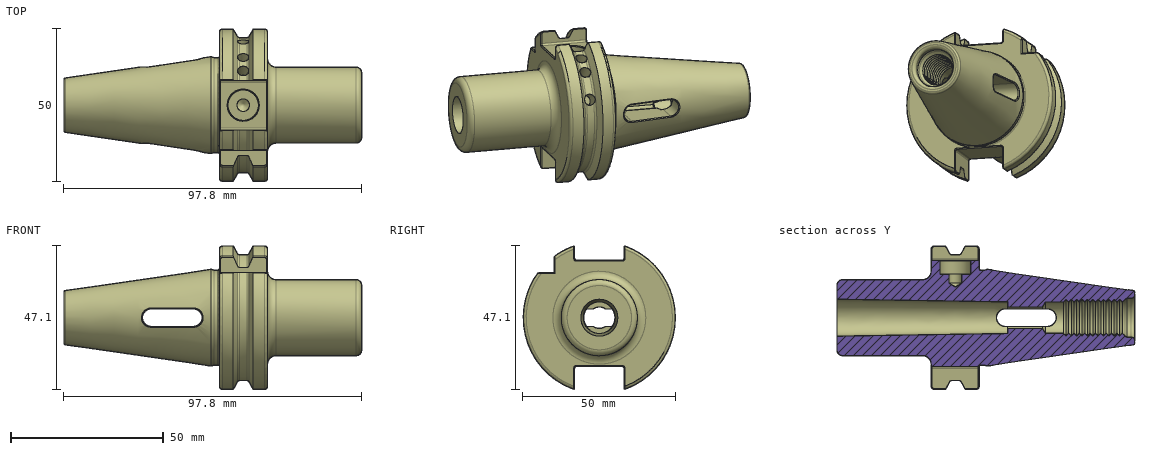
import cadquery as cq
import math

TOTAL_LENGTH = 97.8
TOLERANCE = 0.001
OVERSHOOT = 4.9

TAPER_LENGTH = 48.3
TAPER_END_RADIUS = 15.9
TAPER_SLOPE = 7 / 24 / 2
TAPER_START_RADIUS = TAPER_END_RADIUS - TAPER_SLOPE * TAPER_LENGTH
TAPER_NOSE_FILLET = 0.7
NECK_START = 49.3
NECK_RADIUS = 15.6
NECK_FILLET = 0.4

FLANGE_START = 51.1
FLANGE_END = 66.9
FLANGE_RADIUS = 50.0 / 2
FLANGE_FILLET = 1.0
GROOVE_CENTER = 58.9
GROOVE_TOP_WIDTH = 6.6
GROOVE_FLOOR_RADIUS = 22.2
GROOVE_HALF_ANGLE = 30.0
GROOVE_FILLET = 0.8
GROOVE_FLOOR_WIDTH = GROOVE_TOP_WIDTH - 2 * (FLANGE_RADIUS - GROOVE_FLOOR_RADIUS) * math.tan(
    math.radians(GROOVE_HALF_ANGLE)
)

SLEEVE_RADIUS = 12.5
SLEEVE_ROOT_FILLET = 2.7
SLEEVE_END_FILLET = 2.0

STUD_MOUTH_FILLET = 1.2
STUD_GUIDE_RADIUS = 6.4
STUD_GUIDE_DEPTH = 2.6
STUD_BORE_RADIUS = 5.1
STUD_BORE_DEPTH = 29.3
THREAD_START = 3.2
THREAD_ROOT_RADIUS = 6.0
THREAD_PITCH = 1.8
THREAD_TURNS = 12
DRILL_TIP_HALF_ANGLE = 59.0
LINK_HOLE_RADIUS = 6.9 / 2

SOCKET_MOUTH_RADIUS = 6.1
SOCKET_END_RADIUS = 5.2
SOCKET_BOTTOM = 41.8

EJECTOR_START = 25.8
EJECTOR_LENGTH = 19.6
EJECTOR_HEIGHT = 5.7
EJECTOR_EDGE_CHAMFER = 0.34

DRIVE_WIDTH = 16.1
DRIVE_TOP_FLOOR = 18.9
DRIVE_BOTTOM_FLOOR = 16.0
DRIVE_FLOOR_FILLET = 0.6
NOTCH_OFFSET = 14.9
SLOT_EDGE_CHAMFER = 0.34

SEAT_RADIUS = 5.0
SEAT_DEPTH = 4.6
SEAT_CHAMFER = 0.3
PILOT_RADIUS = 2.1
PILOT_DEPTH = 2.9

RADIAL_HOLE_RADIUS = 3.6 / 2
RADIAL_HOLE_DEPTH = 5.9
RADIAL_HOLE_ANGLES = (30.5, 45.0, 69.5)


def drill_tip(radius):
    """Length of a drill point that closes a hole of the given radius."""
    return radius / math.tan(math.radians(DRILL_TIP_HALF_ANGLE))


def revolve_about_x(points):
    """Solid of revolution about X from (x, radius) points."""
    return cq.Workplane("XY").polyline(points).close().revolve(360, (0, 0, 0), (1, 0, 0))


def fillet_rim(body, x, rim_radius, fillet_radius):
    """Round the circular edge found at position x with the given radius."""
    def is_rim(edge):
        return (
            edge.geomType() == "CIRCLE"
            and abs(edge.Center().x - x) < TOLERANCE
            and abs(edge.radius() - rim_radius) < TOLERANCE
        )

    return body.edges().filter(is_rim).fillet(fillet_radius)


def box_holds(box, edge):
    """True if the edge lies wholly inside the bounding box."""
    span = edge.BoundingBox()
    return (
        box.xmin <= span.xmin and span.xmax <= box.xmax
        and box.ymin <= span.ymin and span.ymax <= box.ymax
        and box.zmin <= span.zmin and span.zmax <= box.zmax
    )


def turned_body():
    groove_top_start = GROOVE_CENTER - GROOVE_TOP_WIDTH / 2
    groove_top_end = GROOVE_CENTER + GROOVE_TOP_WIDTH / 2
    groove_floor_start = GROOVE_CENTER - GROOVE_FLOOR_WIDTH / 2
    groove_floor_end = GROOVE_CENTER + GROOVE_FLOOR_WIDTH / 2
    body = revolve_about_x([
        (0, 0),
        (0, TAPER_START_RADIUS),
        (TAPER_LENGTH, TAPER_END_RADIUS),
        (NECK_START, NECK_RADIUS),
        (FLANGE_START, NECK_RADIUS),
        (FLANGE_START, FLANGE_RADIUS),
        (groove_top_start, FLANGE_RADIUS),
        (groove_floor_start, GROOVE_FLOOR_RADIUS),
        (groove_floor_end, GROOVE_FLOOR_RADIUS),
        (groove_top_end, FLANGE_RADIUS),
        (FLANGE_END, FLANGE_RADIUS),
        (FLANGE_END, SLEEVE_RADIUS),
        (TOTAL_LENGTH, SLEEVE_RADIUS),
        (TOTAL_LENGTH, 0),
    ])
    body = fillet_rim(body, 0, TAPER_START_RADIUS, TAPER_NOSE_FILLET)
    body = fillet_rim(body, FLANGE_START, NECK_RADIUS, NECK_FILLET)
    for x in (FLANGE_START, FLANGE_END):
        body = fillet_rim(body, x, FLANGE_RADIUS, FLANGE_FILLET)
    for x in (groove_floor_start, groove_floor_end):
        body = fillet_rim(body, x, GROOVE_FLOOR_RADIUS, GROOVE_FILLET)
    body = fillet_rim(body, FLANGE_END, SLEEVE_RADIUS, SLEEVE_ROOT_FILLET)
    return fillet_rim(body, TOTAL_LENGTH, SLEEVE_RADIUS, SLEEVE_END_FILLET)


def cut_axial_bores(body):
    thread = []
    for turn in range(THREAD_TURNS):
        root_x = THREAD_START + turn * THREAD_PITCH
        thread.append((root_x, THREAD_ROOT_RADIUS))
        thread.append((root_x + THREAD_PITCH / 2, STUD_BORE_RADIUS))
    tip_end = STUD_BORE_DEPTH + drill_tip(STUD_BORE_RADIUS - LINK_HOLE_RADIUS)
    bore = revolve_about_x([
        (0, 0),
        (0, STUD_GUIDE_RADIUS),
        (STUD_GUIDE_DEPTH, STUD_GUIDE_RADIUS),
        *thread,
        (STUD_BORE_DEPTH, STUD_BORE_RADIUS),
        (tip_end, LINK_HOLE_RADIUS),
        (SOCKET_BOTTOM, LINK_HOLE_RADIUS),
        (SOCKET_BOTTOM, SOCKET_END_RADIUS),
        (TOTAL_LENGTH, SOCKET_MOUTH_RADIUS),
        (TOTAL_LENGTH, 0),
    ])
    return fillet_rim(body.cut(bore), 0, STUD_GUIDE_RADIUS, STUD_MOUTH_FILLET)


def cut_ejector_slot(body):
    slot = (
        cq.Workplane("XZ")
        .center(EJECTOR_START + EJECTOR_LENGTH / 2, 0)
        .slot2D(EJECTOR_LENGTH, EJECTOR_HEIGHT)
        .extrude(FLANGE_RADIUS, both=True)
    )
    body = body.cut(slot)
    slot_box = slot.val().BoundingBox().enlarge(TOLERANCE)

    def is_mouth_edge(edge):
        on_taper = abs(edge.Center().y) > THREAD_ROOT_RADIUS
        return on_taper and edge.geomType() != "LINE" and box_holds(slot_box, edge)

    return body.edges().filter(is_mouth_edge).chamfer(EJECTOR_EDGE_CHAMFER)


def flange_cutter(y_min, y_max, z_min, z_max):
    """Box that spans the flange thickness exactly, bounded in Y and Z."""
    return cq.Workplane("XY").box(
        FLANGE_END - FLANGE_START, y_max - y_min, z_max - z_min, centered=False
    ).translate((FLANGE_START, y_min, z_min))


def chamfer_slot_edges(body, cutters):
    """Break the slot edges on the flange faces and lands; the groove edges stay sharp."""
    boxes = [cutter.val().BoundingBox().enlarge(TOLERANCE) for cutter in cutters]

    def is_slot_edge(edge):
        center = edge.Center()
        outside_groove = abs(center.x - GROOVE_CENTER) > GROOVE_TOP_WIDTH / 2
        return outside_groove and any(box_holds(box, edge) for box in boxes)

    return body.edges().filter(is_slot_edge).chamfer(SLOT_EDGE_CHAMFER)


def cut_flange_slots(body):
    reach = FLANGE_RADIUS + OVERSHOOT
    half_width = DRIVE_WIDTH / 2
    top = flange_cutter(-half_width, half_width, DRIVE_TOP_FLOOR, reach)
    bottom = flange_cutter(-half_width, half_width, -reach, -DRIVE_BOTTOM_FLOOR)
    notch = flange_cutter(-reach, -NOTCH_OFFSET, NOTCH_OFFSET, reach)
    top = top.edges("|X and <Z").fillet(DRIVE_FLOOR_FILLET)
    bottom = bottom.edges("|X and >Z").fillet(DRIVE_FLOOR_FILLET)
    cutters = [top, bottom, notch]
    for cutter in cutters:
        body = body.cut(cutter)
    return chamfer_slot_edges(body, cutters)


def cut_seat_hole(body):
    floor = DRIVE_TOP_FLOOR
    seat_floor = floor - SEAT_DEPTH
    pilot_end = seat_floor - PILOT_DEPTH
    hole = (
        cq.Workplane("XZ")
        .polyline([
            (0, floor),
            (SEAT_RADIUS + SEAT_CHAMFER, floor),
            (SEAT_RADIUS, floor - SEAT_CHAMFER),
            (SEAT_RADIUS, seat_floor),
            (PILOT_RADIUS, seat_floor),
            (PILOT_RADIUS, pilot_end),
            (0, pilot_end - drill_tip(PILOT_RADIUS)),
        ])
        .close()
        .revolve(360, (0, 0, 0), (0, 1, 0))
        .translate((GROOVE_CENTER, 0, 0))
    )
    return body.cut(hole)


def cut_radial_holes(body):
    for angle in RADIAL_HOLE_ANGLES:
        hole = (
            cq.Workplane("XY")
            .workplane(offset=GROOVE_FLOOR_RADIUS - RADIAL_HOLE_DEPTH)
            .center(GROOVE_CENTER, 0)
            .circle(RADIAL_HOLE_RADIUS)
            .extrude(RADIAL_HOLE_DEPTH + OVERSHOOT)
            .rotate((0, 0, 0), (1, 0, 0), -angle)
        )
        body = body.cut(hole)
    return body


result = turned_body()
result = cut_axial_bores(result)
result = cut_ejector_slot(result)
result = cut_flange_slots(result)
result = cut_seat_hole(result)
result = cut_radial_holes(result)